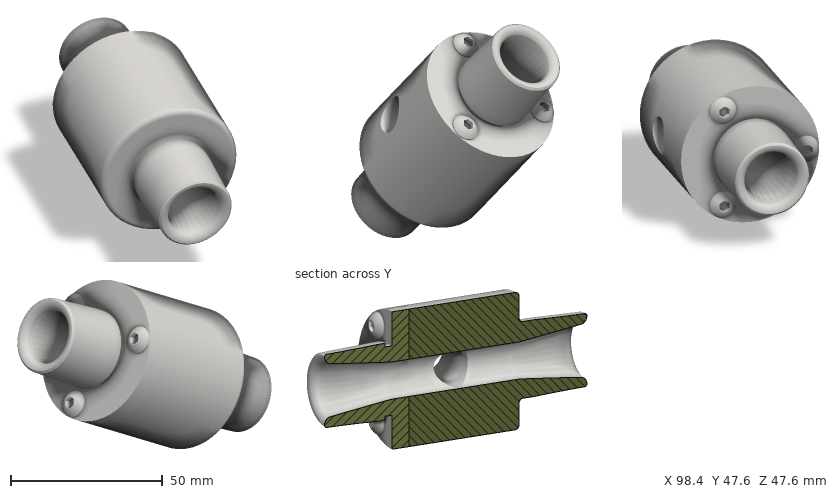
import cadquery as cq
import math

LENGTH = 98.4
BODY_RADIUS = 47.6 / 2
CAP_FACE_X = 25.3
JOINT_X = 31.8
BODY_END_X = 73.0
BODY_EDGE_FILLET = 1.8

PIPE_RADIUS = 26.7 / 2
TAPER_LENGTH = 20.0
TAPER_RATIO = 1 / 32
CHAMFER_LENGTH = 0.7
NECK_RADIUS = 24.1 / 2
NECK_LENGTH = 2.5
PIPE_ROOT_FILLET = 1.3

BORE_RADIUS = 12.7 / 2
ENTRY_RADIUS = 9.2
MOUTH_RADIUS = 11.9
MOUTH_LENGTH = 1.9

PORT_RADIUS = 12.7 / 2
PORT_X = 50.8

SCREW_COUNT = 3
SCREW_CIRCLE_RADIUS = 19.1
HEAD_RADIUS = 9.2 / 2
HEAD_TOP_RADIUS = 4.1 / 2
HEAD_HEIGHT = 2.5
HEAD_RIM_HEIGHT = 0.6
SOCKET_SIDES = 6
SOCKET_CORNER_DIAMETER = 4.0
SOCKET_DEPTH = 2.4
SHANK_RADIUS = 4.7 / 2
SHANK_LENGTH = 15.7

TIP_RADIUS = PIPE_RADIUS - TAPER_LENGTH * TAPER_RATIO
END_FACE_RADIUS = TIP_RADIUS - CHAMFER_LENGTH
NECK_START_X = CAP_FACE_X - NECK_LENGTH
SHANK_END_X = CAP_FACE_X + SHANK_LENGTH
X_AXIS = ((0, 0, 0), (1, 0, 0))


def revolve_about_x(outline):
    """Turn a closed (x, radius) outline about the X axis."""
    return outline.close().revolve(360, *X_AXIS)


def bore():
    """Tool for the bore: a straight middle that widens to a rounded mouth at each end."""
    mouth_drop = MOUTH_RADIUS - ENTRY_RADIUS
    mouth_round = (mouth_drop**2 + MOUTH_LENGTH**2) / (2 * MOUTH_LENGTH)
    half_sweep = math.atan2(MOUTH_LENGTH, mouth_drop)
    arc_middle = (
        mouth_round * (1 - math.cos(half_sweep)),
        MOUTH_RADIUS - mouth_round * math.sin(half_sweep),
    )
    left_entry = revolve_about_x(
        cq.Workplane("XY")
        .moveTo(CAP_FACE_X, 0)
        .lineTo(CAP_FACE_X, BORE_RADIUS)
        .lineTo(MOUTH_LENGTH, ENTRY_RADIUS)
        .threePointArc(arc_middle, (0, MOUTH_RADIUS))
        .lineTo(0, 0)
    )
    right_entry = left_entry.mirror("YZ", (LENGTH / 2, 0, 0))
    middle = cq.Workplane("YZ").circle(BORE_RADIUS).extrude(LENGTH)
    return middle.union(left_entry).union(right_entry)


def screw_places():
    """(y, z) of each screw, evenly spaced from the -Y side."""
    angles = [math.pi + 2 * math.pi * i / SCREW_COUNT for i in range(SCREW_COUNT)]
    return [(SCREW_CIRCLE_RADIUS * math.cos(a), SCREW_CIRCLE_RADIUS * math.sin(a)) for a in angles]


def screw_holes():
    """Tool that cuts the holes which the screw shanks fill."""
    return (
        cq.Workplane("YZ", origin=(CAP_FACE_X, 0, 0))
        .pushPoints(screw_places())
        .circle(SHANK_RADIUS)
        .extrude(SHANK_LENGTH)
    )


def make_cap():
    """Flange with the left pipe end, which has a relief neck at its root."""
    cap = revolve_about_x(
        cq.Workplane("XY")
        .lineTo(0, END_FACE_RADIUS)
        .lineTo(CHAMFER_LENGTH, TIP_RADIUS)
        .lineTo(TAPER_LENGTH, PIPE_RADIUS)
        .lineTo(NECK_START_X, PIPE_RADIUS)
        .lineTo(NECK_START_X, NECK_RADIUS)
        .lineTo(CAP_FACE_X, NECK_RADIUS)
        .lineTo(CAP_FACE_X, BODY_RADIUS)
        .lineTo(JOINT_X, BODY_RADIUS)
        .lineTo(JOINT_X, 0)
    )
    return cap.cut(bore()).cut(screw_holes())


def make_housing():
    """Main barrel with the right pipe end and the radial port."""
    round_bend = BODY_EDGE_FILLET * (1 - math.sqrt(0.5))
    root_bend = PIPE_ROOT_FILLET * (1 - math.sqrt(0.5))
    housing = revolve_about_x(
        cq.Workplane("XY")
        .moveTo(JOINT_X, 0)
        .lineTo(JOINT_X, BODY_RADIUS)
        .lineTo(BODY_END_X - BODY_EDGE_FILLET, BODY_RADIUS)
        .threePointArc(
            (BODY_END_X - round_bend, BODY_RADIUS - round_bend),
            (BODY_END_X, BODY_RADIUS - BODY_EDGE_FILLET),
        )
        .lineTo(BODY_END_X, PIPE_RADIUS + PIPE_ROOT_FILLET)
        .threePointArc(
            (BODY_END_X + root_bend, PIPE_RADIUS + root_bend),
            (BODY_END_X + PIPE_ROOT_FILLET, PIPE_RADIUS),
        )
        .lineTo(LENGTH - TAPER_LENGTH, PIPE_RADIUS)
        .lineTo(LENGTH - CHAMFER_LENGTH, TIP_RADIUS)
        .lineTo(LENGTH, END_FACE_RADIUS)
        .lineTo(LENGTH, 0)
    )
    port = (
        cq.Workplane("XZ", origin=(PORT_X, 0, 0))
        .circle(PORT_RADIUS)
        .extrude(-BODY_RADIUS)
    )
    return housing.cut(bore()).cut(screw_holes()).cut(port)


def make_screw(y, z):
    """Button-head screw with its axis along X through (y, z)."""
    head_top_x = CAP_FACE_X - HEAD_HEIGHT
    rim_x = CAP_FACE_X - HEAD_RIM_HEIGHT
    dome_height = rim_x - head_top_x
    sphere_to_rim = (HEAD_RADIUS**2 - HEAD_TOP_RADIUS**2 - dome_height**2) / (2 * dome_height)
    sphere_radius = math.hypot(sphere_to_rim, HEAD_RADIUS)
    dome_middle_radius = (HEAD_RADIUS + HEAD_TOP_RADIUS) / 2
    dome_middle_x = rim_x + sphere_to_rim - math.sqrt(sphere_radius**2 - dome_middle_radius**2)
    screw = revolve_about_x(
        cq.Workplane("XY")
        .moveTo(head_top_x, 0)
        .lineTo(head_top_x, HEAD_TOP_RADIUS)
        .threePointArc(
            (dome_middle_x, dome_middle_radius),
            (rim_x, HEAD_RADIUS),
        )
        .lineTo(CAP_FACE_X, HEAD_RADIUS)
        .lineTo(CAP_FACE_X, SHANK_RADIUS)
        .lineTo(SHANK_END_X, SHANK_RADIUS)
        .lineTo(SHANK_END_X, 0)
    )
    socket = (
        cq.Workplane("YZ", origin=(head_top_x, 0, 0))
        .transformed(rotate=(0, 0, 90))
        .polygon(SOCKET_SIDES, SOCKET_CORNER_DIAMETER)
        .extrude(SOCKET_DEPTH)
    )
    return screw.cut(socket).translate((0, y, z))


cap = make_cap()
housing = make_housing()
screws = [make_screw(y, z) for y, z in screw_places()]

result = cq.Compound.makeCompound(
    [cap.val(), housing.val(), *[screw.val() for screw in screws]]
)